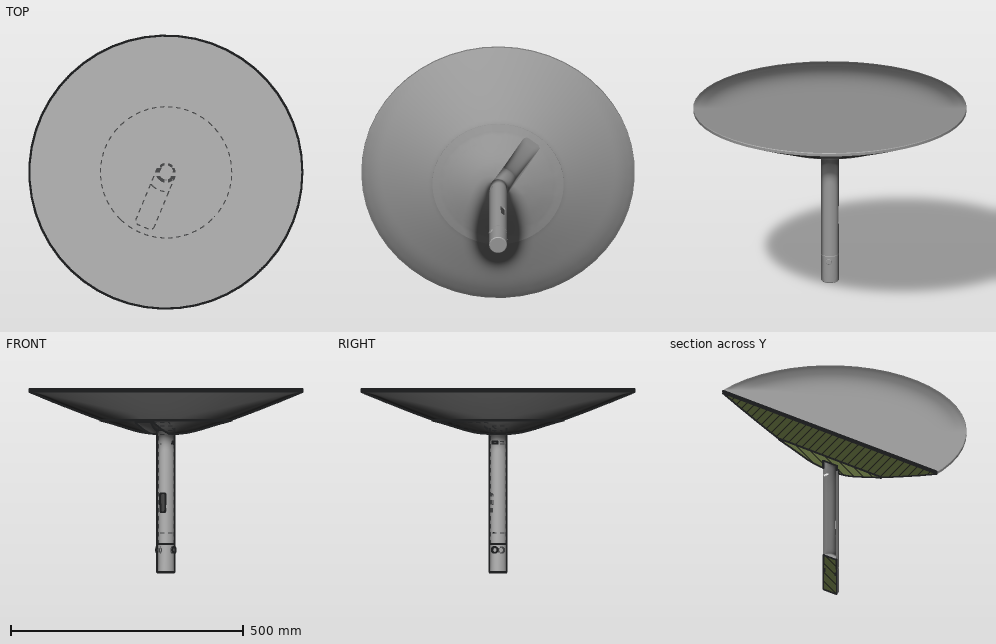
import cadquery as cq

TOP_Z = 198.0
BAND_HEIGHT = 3.5
BOWL_RIM_Z = TOP_Z - 2 * BAND_HEIGHT
BOWL_FOOT_Z = 131.0
DOME_FOOT_Z = 100.0
FOOT_TOP_Z = -136.0
FOOT_BOTTOM_Z = -198.0

TRAY_RADIUS = 294.5
SEAM_INSET = 1.0
DISC_CHAMFER = 1.0
BOWL_FOOT_RADIUS = 141.5
BOWL_BULGE = 1.0
DOME_LIP = 2.0
DOME_PROFILE = [(99.5, 117.0), (57.0, 105.0), (23.5, DOME_FOOT_Z)]

TUBE_DIAMETER = 38.0
TUBE_BORE = 33.0
TUBE_SOCKET_DEPTH = 17.5
SPIGOT_LENGTH = 23.5
FOOT_CHAMFER = 2.0
FOOT_TOP_CHAMFER = 1.0
POLE_TURN = -22.5

SLOT_WIDTH = 13.0
KEY_TOP_Z = -27.0
KEY_STEP_Z = -50.5
KEY_BOTTOM_Z = -68.5
KEY_NARROW_WIDTH = 11.0
CABLE_SLOT_BOTTOM_Z = 79.0
CABLE_SLOT_HEIGHT = 6.0
SLOT_CORNER = 4.0

BUTTON_DIAMETER = 13.0
BUTTON_SPAN = 42.0
BUTTON_DEPTH = 7.0
BUTTON_FILLET = 1.0
BUTTON_Z = -149.0

RECESS_REACH = 127.0
RECESS_WIDTH = 42.5
RECESS_CORNER = 9.5
RECESS_TOP_Z = 126.0
BOSS_BOTTOM_Z = 108.5
BOSS_BOTTOM_RADIUS = 21.0
BOSS_TOP_RADIUS = 41.0


def disc(radius, bottom_z, height):
    """Upright cylinder on the Z axis."""
    return cq.Workplane("XY", origin=(0, 0, bottom_z)).circle(radius).extrude(height)


def turn_with_pole(body):
    """Turn a body from its square position to the pole's heading."""
    return body.rotate((0, 0, 0), (0, 0, 1), POLE_TURN)


def make_top_disc():
    top_disc = disc(TRAY_RADIUS, TOP_Z - BAND_HEIGHT, BAND_HEIGHT)
    return top_disc.faces(">Z").chamfer(DISC_CHAMFER)


def make_seam_ring():
    return disc(TRAY_RADIUS - SEAM_INSET, BOWL_RIM_Z, BAND_HEIGHT)


def make_bowl():
    """Almost conical bowl whose wall sags slightly outwards."""
    middle_radius = (TRAY_RADIUS + BOWL_FOOT_RADIUS) / 2
    middle_z = (BOWL_RIM_Z + BOWL_FOOT_Z) / 2 - BOWL_BULGE
    return (
        cq.Workplane("XZ")
        .moveTo(0, BOWL_RIM_Z)
        .lineTo(TRAY_RADIUS, BOWL_RIM_Z)
        .threePointArc((middle_radius, middle_z), (BOWL_FOOT_RADIUS, BOWL_FOOT_Z))
        .lineTo(0, BOWL_FOOT_Z)
        .close()
        .revolve(360, (0, 0, 0), (0, 1, 0))
    )


def make_recess_cutter():
    """Upright pocket from the pole axis towards -Y, less the boss left standing around the tube."""
    pocket = (
        cq.Workplane("XY", origin=(0, -RECESS_REACH / 2, DOME_FOOT_Z))
        .box(RECESS_WIDTH, RECESS_REACH, RECESS_TOP_Z - DOME_FOOT_Z, centered=(True, True, False))
        .edges("|Z and <Y")
        .fillet(RECESS_CORNER)
    )
    boss = (
        cq.Workplane("XZ")
        .moveTo(0, RECESS_TOP_Z)
        .lineTo(BOSS_TOP_RADIUS, RECESS_TOP_Z)
        .lineTo(BOSS_BOTTOM_RADIUS, BOSS_BOTTOM_Z)
        .lineTo(0, BOSS_BOTTOM_Z)
        .close()
        .revolve(360, (0, 0, 0), (0, 1, 0))
    )
    return pocket.cut(boss)


def make_dome():
    dome = (
        cq.Workplane("XZ")
        .moveTo(0, BOWL_FOOT_Z)
        .lineTo(BOWL_FOOT_RADIUS, BOWL_FOOT_Z)
        .lineTo(BOWL_FOOT_RADIUS, BOWL_FOOT_Z - DOME_LIP)
        .spline(DOME_PROFILE, includeCurrent=True)
        .lineTo(0, DOME_FOOT_Z)
        .close()
        .revolve(360, (0, 0, 0), (0, 1, 0))
    )
    socket = disc(TUBE_DIAMETER / 2, DOME_FOOT_Z, TUBE_SOCKET_DEPTH)
    return dome.cut(turn_with_pole(make_recess_cutter())).cut(socket)


def make_cable_slot_cutter():
    """Slot with a flat bottom and rounded top corners, right through the tube along X."""
    return (
        cq.Workplane("XY", origin=(0, 0, CABLE_SLOT_BOTTOM_Z))
        .box(2 * TUBE_DIAMETER, SLOT_WIDTH, CABLE_SLOT_HEIGHT, centered=(True, True, False))
        .edges("|X and >Z")
        .fillet(SLOT_CORNER)
    )


def make_keyhole_cutter():
    """Wide slot with a narrower one below it, rounded at both ends, through the -Y wall."""
    wide = (
        cq.Workplane("XY", origin=(0, -TUBE_DIAMETER / 2, KEY_STEP_Z))
        .box(SLOT_WIDTH, TUBE_DIAMETER, KEY_TOP_Z - KEY_STEP_Z, centered=(True, True, False))
        .edges("|Y and >Z")
        .fillet(SLOT_CORNER)
    )
    narrow = (
        cq.Workplane("XY", origin=(0, -TUBE_DIAMETER / 2, KEY_BOTTOM_Z))
        .box(KEY_NARROW_WIDTH, TUBE_DIAMETER, KEY_STEP_Z - KEY_BOTTOM_Z, centered=(True, True, False))
        .edges("|Y and <Z")
        .fillet(SLOT_CORNER)
    )
    return wide.union(narrow)


def make_tube():
    top_z = DOME_FOOT_Z + TUBE_SOCKET_DEPTH
    tube = (
        cq.Workplane("XY", origin=(0, 0, FOOT_TOP_Z))
        .circle(TUBE_DIAMETER / 2)
        .circle(TUBE_BORE / 2)
        .extrude(top_z - FOOT_TOP_Z)
    )
    return turn_with_pole(tube.cut(make_cable_slot_cutter()).cut(make_keyhole_cutter()))


def make_button(side):
    """Round button standing out of the foot; side is +1 or -1 along the turned X axis."""
    face = BUTTON_SPAN / 2
    button = (
        cq.Workplane("YZ", origin=(face - BUTTON_DEPTH, 0, BUTTON_Z))
        .circle(BUTTON_DIAMETER / 2)
        .extrude(BUTTON_DEPTH)
        .faces(">X")
        .edges()
        .fillet(BUTTON_FILLET)
    )
    if side < 0:
        button = button.mirror("YZ")
    return turn_with_pole(button)


def make_foot():
    foot = disc(TUBE_DIAMETER / 2, FOOT_BOTTOM_Z, FOOT_TOP_Z - FOOT_BOTTOM_Z)
    foot = foot.faces("<Z").chamfer(FOOT_CHAMFER).faces(">Z").chamfer(FOOT_TOP_CHAMFER)
    return foot.union(disc(TUBE_BORE / 2, FOOT_TOP_Z, SPIGOT_LENGTH))


buttons = [make_button(side) for side in (-1, 1)]
foot = make_foot()
for button in buttons:
    foot = foot.cut(button)

top_disc = make_top_disc()
seam_ring = make_seam_ring()
bowl = make_bowl()
dome = make_dome()
tube = make_tube()

result = cq.Compound.makeCompound([
    top_disc.val(),
    seam_ring.val(),
    bowl.val(),
    dome.val(),
    tube.val(),
    foot.val(),
    *[button.val() for button in buttons],
])